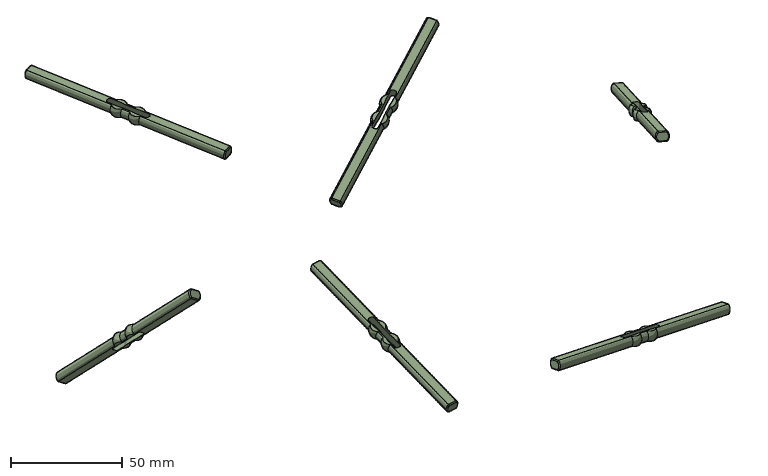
import cadquery as cq

length = 106.2
thickness = 5.0
rod_diameter = 6.5
end_chamfer = 0.5

ball_diameter = 8.5
ball_spacing = 9.7

slot_length = 22.1
slot_width = 3.0
slot_corner_radius = 1.1
neck_step = 0.16
neck_length = 6.0
neck_taper_length = 2.0


def make_bar():
    """Round bar with top and bottom flats and chamfered ends."""
    rod = cq.Workplane("YZ").circle(rod_diameter / 2).extrude(length / 2, both=True)
    flats = cq.Workplane("XY").box(length, rod_diameter, thickness)
    return rod.intersect(flats).faces("<X or >X").chamfer(end_chamfer)


def make_ball(center_x):
    """Ball on the bar axis, cut to the same flats as the bar."""
    ball = cq.Workplane("XY").sphere(ball_diameter / 2)
    ball = ball.rotate((0, 0, 0), (0, 1, 0), 90)
    flats = cq.Workplane("XY").box(ball_diameter, ball_diameter, thickness)
    return ball.intersect(flats).translate((center_x, 0, 0))


def make_neck_pad(side):
    """Shallow tapered pad that stands on one long wall of the slot (side is +1 or -1)."""
    foot_x = neck_length / 2 + neck_taper_length
    top_x = neck_length / 2
    wall_y = side * slot_width / 2
    pad_y = side * (slot_width / 2 - neck_step)
    return (
        cq.Workplane("XY")
        .polyline([(-foot_x, wall_y), (-top_x, pad_y), (top_x, pad_y), (foot_x, wall_y)])
        .close()
        .extrude(thickness / 2, both=True)
    )


def make_slot():
    """Slot with rounded corners, less the pad on each long wall."""
    slot = (
        cq.Workplane("XY")
        .box(slot_length, slot_width, thickness)
        .edges("|Z")
        .fillet(slot_corner_radius)
    )
    for side in (-1, 1):
        slot = slot.cut(make_neck_pad(side))
    return slot


result = make_bar()
for side in (-1, 1):
    result = result.union(make_ball(side * ball_spacing / 2))
result = result.cut(make_slot())